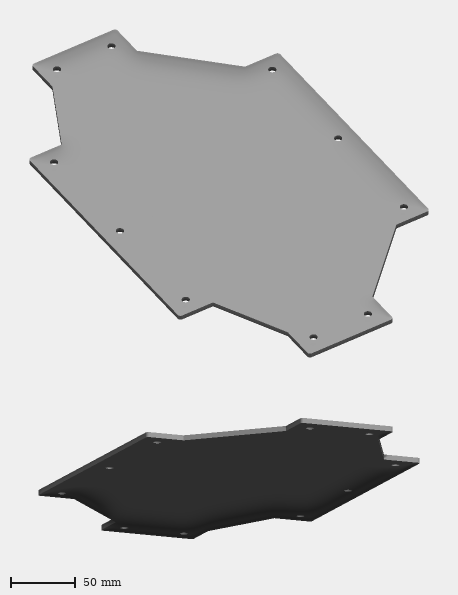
import cadquery as cq

length = 400.0
width = 230.0
thickness = 4.0
corner_radius = 2.5

side_tab_length = 218.0
side_tab_depth = 31.0
end_tab_depth = 30.5
end_tab_width = 77.5
end_tab_center_y = -15.0

hole_diameter = 6.5
side_hole_pitch = 95.0
side_hole_edge_distance = 15.0
end_hole_edge_distance = 15.0
end_hole_spacing = 50.0

half_length = length / 2
half_width = width / 2
side_tab_x = side_tab_length / 2
side_tab_root_y = half_width - side_tab_depth
end_tab_root_x = half_length - end_tab_depth
end_tab_top_y = end_tab_center_y + end_tab_width / 2
end_tab_bottom_y = end_tab_center_y - end_tab_width / 2


def make_plate():
    """Flat plate, symmetric about X = 0, with rounded outer tab corners."""
    right_half = [
        (side_tab_x, half_width),
        (side_tab_x, side_tab_root_y),
        (end_tab_root_x, end_tab_top_y),
        (half_length, end_tab_top_y),
        (half_length, end_tab_bottom_y),
        (end_tab_root_x, end_tab_bottom_y),
        (side_tab_x, -side_tab_root_y),
        (side_tab_x, -half_width),
    ]
    left_half = [(-x, y) for x, y in reversed(right_half)]
    plate = cq.Workplane("XY").polyline(right_half + left_half).close().extrude(thickness)
    for outer_face in (">X", "<X", ">Y", "<Y"):
        plate = plate.faces(outer_face).edges("|Z").fillet(corner_radius)
    return plate


def hole_centers():
    """Three holes along each side tab and two on each end tab."""
    side_hole_y = half_width - side_hole_edge_distance
    end_hole_x = half_length - end_hole_edge_distance
    centers = []
    for side in (-1, 1):
        for column in (-1, 0, 1):
            centers.append((column * side_hole_pitch, side * side_hole_y))
        for row in (-1, 1):
            centers.append((side * end_hole_x, end_tab_center_y + row * end_hole_spacing / 2))
    return centers


hole_cutters = (
    cq.Workplane("XY").pushPoints(hole_centers()).circle(hole_diameter / 2).extrude(thickness)
)
result = make_plate().cut(hole_cutters)